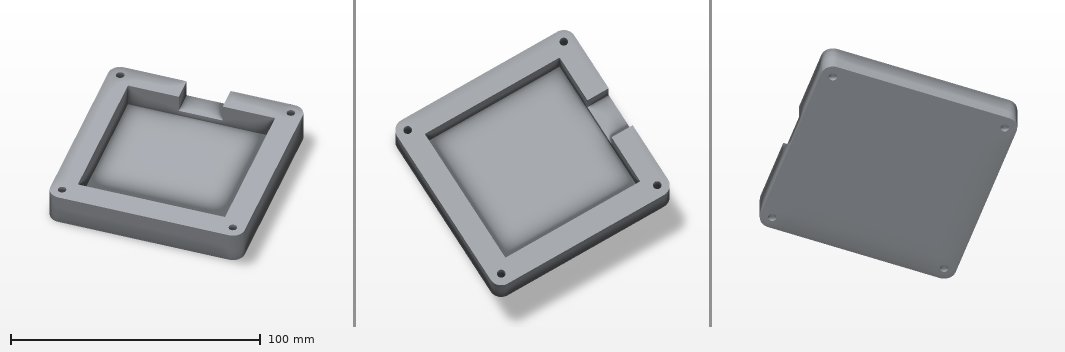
import cadquery as cq

length_x = 82.0
length_y = 83.0
height = 13.0
corner_radius = 5.0

wall = 10.0
pocket_depth = 10.0

notch_width = 18.5
notch_center_x = -0.3
notch_depth = 7.5

hole_diameter = 3.4


def box_from_top(size_x, size_y, depth, center_x=0, center_y=0):
    """Box reaching down from the top face by the given depth."""
    return (
        cq.Workplane("XY", origin=(center_x, center_y, height - depth))
        .rect(size_x, size_y)
        .extrude(depth)
    )


body = box_from_top(length_x, length_y, height).edges("|Z").fillet(corner_radius)

pocket = box_from_top(length_x - 2 * wall, length_y - 2 * wall, pocket_depth)

notch_center_y = (length_y - wall) / 2
notch = box_from_top(notch_width, wall, notch_depth, notch_center_x, notch_center_y)

holes = (
    cq.Workplane("XY")
    .rect(length_x - 2 * corner_radius, length_y - 2 * corner_radius, forConstruction=True)
    .vertices()
    .circle(hole_diameter / 2)
    .extrude(height)
)

result = body.cut(pocket).cut(notch).cut(holes)